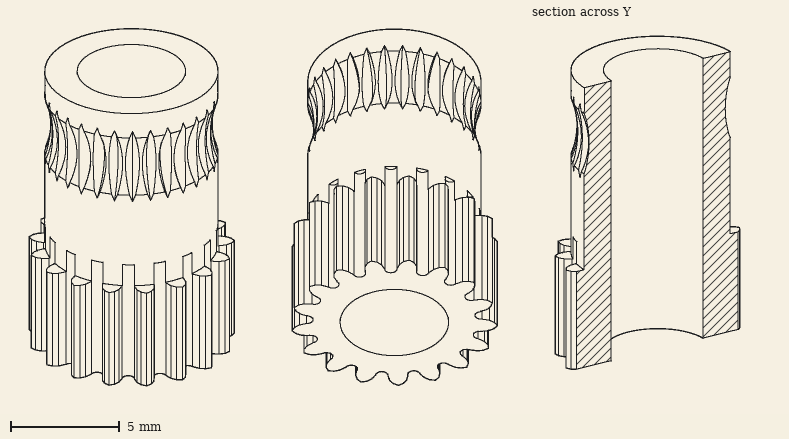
import cadquery as cq
import math

height = 14.0
bore_diameter = 5.0
hub_radius = 8.0 / 2

tooth_count = 17
gear_height = 4.9
tip_radius = 9.5 / 2
shoulder_radius = 4.6
shoulder_half_width = 0.24
flank_radius = 4.37
flank_half_width = 0.39

gap_height = 6.0
gap_radius = 0.28
gap_root_radius = 3.75
gap_center_radius = gap_root_radius + gap_radius

groove_depth_below_top = 2.8
groove_z = height - groove_depth_below_top
neck_radius = 3.72
neck_half_height = 1.51

cut_count = 30
cut_half_angle = 30.0
cut_apex_radius = 3.15
cut_half_height = 1.85


def arc_radius(half_chord, rise):
    """Radius of the arc that has the given half chord and rise."""
    return (half_chord**2 + rise**2) / (2 * rise)


def turned(point, angle):
    """A point turned counterclockwise about the axis by an angle in degrees."""
    x, y = point
    cosine = math.cos(math.radians(angle))
    sine = math.sin(math.radians(angle))
    return (x * cosine - y * sine, x * sine + y * cosine)


def around_axis(shape, count):
    """Copies of a shape at equal steps around the Z axis."""
    step = 360 / count
    return [shape.rotate((0, 0, 0), (0, 0, 1), i * step).val() for i in range(count)]


def make_hub():
    """Solid hub with the arc-shaped neck turned into its outside."""
    return (
        cq.Workplane("XZ")
        .lineTo(hub_radius, 0)
        .lineTo(hub_radius, groove_z - neck_half_height)
        .threePointArc((neck_radius, groove_z), (hub_radius, groove_z + neck_half_height))
        .lineTo(hub_radius, height)
        .lineTo(0, height)
        .close()
        .revolve(360, (0, 0), (0, 1))
    )


def make_v_cutter():
    """Disc on the -Y side with a V edge; it stands in the YZ plane."""
    disc_radius = arc_radius(cut_half_height, hub_radius - cut_apex_radius)
    disc_center_y = -(cut_apex_radius + disc_radius)
    half_thickness = disc_radius * math.tan(math.radians(cut_half_angle))
    return (
        cq.Workplane("XY", origin=(0, disc_center_y, groove_z))
        .polyline([(-half_thickness, 0), (0, disc_radius), (half_thickness, 0)])
        .close()
        .revolve(360, (0, 0), (1, 0))
    )


def make_gap():
    """U-shaped cutter for the gap on -Y, opposite the tooth on +Y."""
    open_end = -(hub_radius + gap_radius)
    return (
        cq.Workplane("XY")
        .moveTo(-gap_radius, -gap_center_radius)
        .threePointArc((0, -gap_root_radius), (gap_radius, -gap_center_radius))
        .lineTo(gap_radius, open_end)
        .lineTo(-gap_radius, open_end)
        .close()
        .extrude(gap_height)
    )


def make_gear():
    """Solid gear of pointed, straight-flanked teeth joined by half-round gaps; one tooth is on +Y."""
    pitch_angle = 360 / tooth_count
    gap_start = turned((-gap_radius, gap_center_radius), pitch_angle / 2)
    gap_bottom = turned((0, gap_root_radius), pitch_angle / 2)
    tooth_base = turned((gap_radius, gap_center_radius), pitch_angle / 2)
    tooth_points = [
        (flank_half_width, flank_radius),
        (shoulder_half_width, shoulder_radius),
        (0, tip_radius),
        (-shoulder_half_width, shoulder_radius),
        (-flank_half_width, flank_radius),
        tooth_base,
    ]
    outline = cq.Workplane("XY").moveTo(-tooth_base[0], tooth_base[1])
    for i in range(tooth_count):
        angle = i * pitch_angle
        for point in tooth_points:
            outline = outline.lineTo(*turned(point, angle))
        outline = outline.threePointArc(turned(gap_bottom, angle), turned(gap_start, angle))
    return outline.close().extrude(gear_height)


hub = make_hub()
v_cut = make_v_cutter().intersect(hub)
body = hub.val().cut(*around_axis(v_cut, cut_count))
body = body.cut(*around_axis(make_gap(), tooth_count))
body = body.fuse(make_gear().val()).clean()
bore = cq.Workplane("XY").circle(bore_diameter / 2).extrude(height).val()
result = cq.Workplane("XY").newObject([body.cut(bore)])